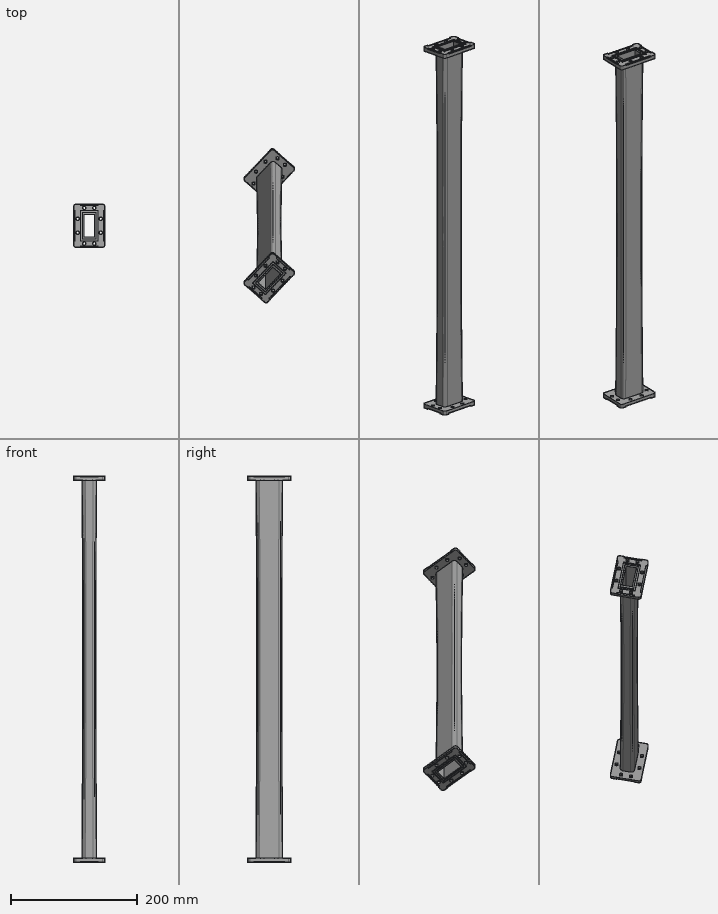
import cadquery as cq

total_length = 609.5

flange_x = 49.5
flange_y = 68.0
flange_thickness = 7.0
flange_corner_radius = 3.5

hole_diameter = 5.0
side_hole_x = 18.0
side_hole_y = 11.0
end_hole_x = 8.0
end_hole_y = 28.0

groove_outer_x = 27.5
groove_outer_y = 47.5
groove_width = 3.0
groove_depth = 2.0

step_length_x = 28.0
step_length_y = 49.0
step_inset = 2.5
step_depth = 1.0

tube_end_x = 23.0
tube_end_y = 42.0
waist_inset = 1.0
tube_corner_radius = 5.5

bore_x = 16.5
bore_y = 35.0

end_z = total_length / 2
tube_end_z = end_z - flange_thickness


def tube_section(z, inset):
    """Rounded rectangle of the tube at height z, moved inwards by the inset on every side."""
    section = cq.Sketch().rect(tube_end_x - 2 * inset, tube_end_y - 2 * inset)
    return section.vertices().fillet(tube_corner_radius).moved(cq.Location(cq.Vector(0, 0, z)))


def tube():
    """Solid tube that narrows smoothly from both flanges to the waist at Z = 0."""
    lower_end = tube_section(-tube_end_z, 0)
    waist = tube_section(0, waist_inset)
    upper_end = tube_section(tube_end_z, 0)
    return cq.Workplane("XY").placeSketch(lower_end, waist, upper_end).loft()


def hole_cutter():
    """Eight screw holes through the upper flange."""
    centres = []
    for sign_x in (-1, 1):
        for sign_y in (-1, 1):
            centres.append((sign_x * side_hole_x, sign_y * side_hole_y))
            centres.append((sign_x * end_hole_x, sign_y * end_hole_y))
    plane = cq.Workplane("XY").workplane(offset=tube_end_z)
    return plane.pushPoints(centres).circle(hole_diameter / 2).extrude(flange_thickness)


def groove_cutter():
    """Rectangular ring sunk into the upper outer face."""
    return (
        cq.Workplane("XY")
        .workplane(offset=end_z - groove_depth)
        .rect(groove_outer_x, groove_outer_y)
        .rect(groove_outer_x - 2 * groove_width, groove_outer_y - 2 * groove_width)
        .extrude(groove_depth)
    )


def edge_step_cutter():
    """Four bars that cut the steps along the edges of the upper outer face."""
    bar_width = 2 * step_inset
    plane = cq.Workplane("XY", origin=(0, 0, end_z - step_depth))
    y_ends = [(0, -flange_y / 2), (0, flange_y / 2)]
    x_sides = [(-flange_x / 2, 0), (flange_x / 2, 0)]
    end_bars = plane.pushPoints(y_ends).rect(step_length_x, bar_width).extrude(step_depth)
    side_bars = plane.pushPoints(x_sides).rect(bar_width, step_length_y).extrude(step_depth)
    return end_bars.add(side_bars).combine()


def flange():
    """Upper flange with its holes, groove and edge steps."""
    plate = (
        cq.Workplane("XY")
        .workplane(offset=tube_end_z)
        .rect(flange_x, flange_y)
        .extrude(flange_thickness)
        .edges("|Z")
        .fillet(flange_corner_radius)
    )
    return plate.cut(hole_cutter()).cut(groove_cutter()).cut(edge_step_cutter())


upper_flange = flange()
lower_flange = upper_flange.mirror("XY")
bore = cq.Workplane("XY").box(bore_x, bore_y, total_length)

result = tube().union(upper_flange).union(lower_flange).cut(bore)